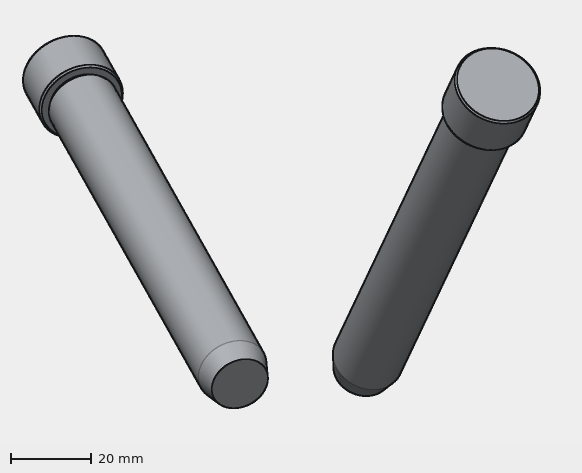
import cadquery as cq
import math

TOTAL_LENGTH = 140.0

HEAD_DIAMETER = 22.0
HEAD_LENGTH = 14.0
HEAD_CHAMFER = 0.5

SHANK_DIAMETER = 18.0
RELIEF_WIDTH = 1.0
RELIEF_DEPTH = 0.5

TIP_HALF_ANGLE = 15.0
TIP_LENGTH = 6.0


def make_cylinder(diameter, start_x, end_x):
    """Solid cylinder about the X axis between two X positions."""
    return cq.Workplane("YZ", origin=(start_x, 0, 0)).circle(diameter / 2).extrude(end_x - start_x)


def make_head():
    """Head with a chamfer on both rims."""
    head = make_cylinder(HEAD_DIAMETER, head_face_x, head_seat_x)
    return head.faces("<X or >X").edges().chamfer(HEAD_CHAMFER)


def make_relief():
    """Short neck, slightly smaller than the shank, between head and shank."""
    return make_cylinder(SHANK_DIAMETER - 2 * RELIEF_DEPTH, head_seat_x, shank_start_x)


def make_shank():
    """Straight cylindrical shank."""
    return make_cylinder(SHANK_DIAMETER, shank_start_x, taper_start_x)


def make_tip():
    """Cone that narrows from the shank diameter to the end face."""
    return (
        cq.Workplane("YZ", origin=(taper_start_x, 0, 0))
        .circle(SHANK_DIAMETER / 2)
        .workplane(offset=TIP_LENGTH)
        .circle(tip_diameter / 2)
        .loft(ruled=True)
    )


tip_diameter = SHANK_DIAMETER - 2 * TIP_LENGTH * math.tan(math.radians(TIP_HALF_ANGLE))

head_face_x = 0.0
head_seat_x = head_face_x + HEAD_LENGTH
shank_start_x = head_seat_x + RELIEF_WIDTH
taper_start_x = head_face_x + TOTAL_LENGTH - TIP_LENGTH

result = make_head().union(make_relief()).union(make_shank()).union(make_tip())